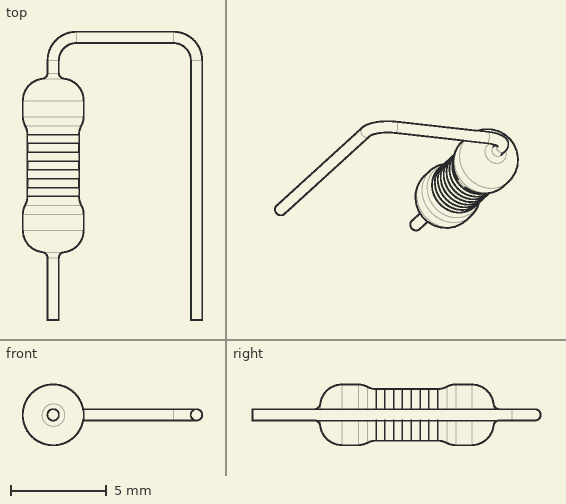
import cadquery as cq

length = 15.1
body_diameter = 3.2
lead_diameter = 0.6
lead_pitch = 7.5
bend_radius = 1.21

body_center = 8.1
neck_diameter = 2.72
band_diameter = 2.73
neck_length = 3.23
band_slots = 7
shoulder_length = 0.94
cap_straight_length = 0.85
dome_length = 1.15
dome_radius = 1.16
flare_radius = 0.29

body_radius = body_diameter / 2
neck_radius = neck_diameter / 2
lead_radius = lead_diameter / 2

neck_end = neck_length / 2
shoulder_end = neck_end + shoulder_length
straight_end = shoulder_end + cap_straight_length
dome_end = straight_end + dome_length
flare_end = dome_end + flare_radius


def make_cap():
    """Revolve the +Y end cap, from the end of the neck to the end of the flare."""
    shoulder_middle = ((neck_radius + body_radius) / 2, (neck_end + shoulder_end) / 2)
    shoulder_rise = body_radius - neck_radius
    shoulder_radius = (shoulder_rise**2 + shoulder_length**2) / (4 * shoulder_rise)
    return (
        cq.Workplane("XY")
        .moveTo(neck_radius, neck_end)
        .radiusArc(shoulder_middle, shoulder_radius)
        .tangentArcPoint((body_radius, shoulder_end), relative=False)
        .lineTo(body_radius, straight_end)
        .radiusArc((lead_radius + flare_radius, dome_end), -dome_radius)
        .radiusArc((lead_radius, flare_end), flare_radius)
        .lineTo(0, flare_end)
        .lineTo(0, neck_end)
        .close()
        .revolve(360, (0, 0), (0, 1))
    )


def make_body():
    neck = cq.Workplane("XZ").circle(neck_radius).extrude(neck_end, both=True)
    cap = make_cap()
    body = neck.union(cap).union(cap.mirror("XZ"))
    band_width = neck_length / band_slots
    for slot in range(0, band_slots, 2):
        band_start = slot * band_width - neck_end
        band = (
            cq.Workplane("XZ", origin=(0, band_start, 0))
            .circle(band_diameter / 2)
            .extrude(-band_width)
        )
        body = body.union(band)
    return body.translate((0, body_center, 0))


def make_lead():
    """Sweep the wire up through the body, across, and back down."""
    top = length - lead_radius
    bend_start = top - bend_radius
    path = (
        cq.Workplane("XY")
        .lineTo(0, bend_start)
        .radiusArc((bend_radius, top), bend_radius)
        .lineTo(lead_pitch - bend_radius, top)
        .radiusArc((lead_pitch, bend_start), bend_radius)
        .lineTo(lead_pitch, 0)
    )
    return cq.Workplane("XZ").circle(lead_radius).sweep(path)


result = make_body().union(make_lead())